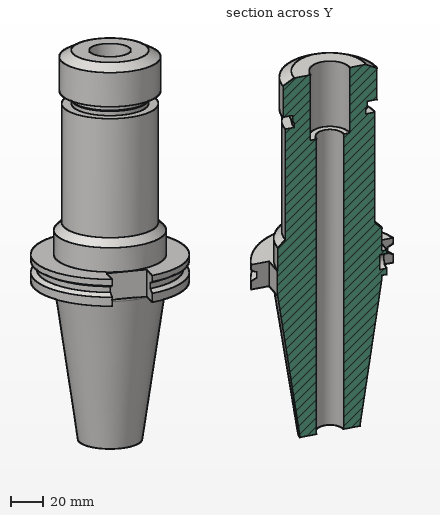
import cadquery as cq

SHANK_LENGTH = 101.6
GAUGE_DIAMETER = 69.85
TAPER_RATIO = 7 / 24
SMALL_END_DIAMETER = GAUGE_DIAMETER - SHANK_LENGTH * TAPER_RATIO

FLANGE_DIAMETER = 98.425
FLANGE_BOTTOM_Z = SHANK_LENGTH + 1.5
FLANGE_TOP_Z = SHANK_LENGTH + 19.05
GROOVE_FLOOR_DIAMETER = 91.0
GROOVE_CENTER_Z = FLANGE_TOP_Z - 7.9
GROOVE_FLOOR_WIDTH = 3.8
GROOVE_MOUTH_WIDTH = 7.6

SLOT_WIDTH = 25.91
LEFT_SLOT_FLOOR_X = -37.9
RIGHT_SLOT_FLOOR_X = 35.5
CHIP_HOLE_DIAMETER = 10.0
CHIP_HOLE_DEPTH = 4.6

TOTAL_HEIGHT = 254.0
BODY_DIAMETER = 60.0
SHOULDER_CONE_BOTTOM_Z = 136.5
SHOULDER_CONE_HEIGHT = (GAUGE_DIAMETER - BODY_DIAMETER) / 2
BODY_TOP_Z = 219.2

NECK_DIAMETER = 48.0
COLLAR_DIAMETER = 50.0
COLLAR_BOTTOM_Z = 223.0
COLLAR_CHAMFER = (COLLAR_DIAMETER - NECK_DIAMETER) / 2

NUT_DIAMETER = 63.0
NUT_HEIGHT = 26.5
NUT_BOTTOM_Z = TOTAL_HEIGHT - NUT_HEIGHT
NUT_FACE_DIAMETER = 48.0
NUT_CHAMFER_HEIGHT = 4.2

BORE_DIAMETER = 18.0
COLLET_BORE_DIAMETER = 26.0
COLLET_BORE_DEPTH = 46.0


def make_turned_body():
    """Revolve the outer outline, given as (diameter, height) steps, about Z."""
    steps = [
        (0, 0),
        (SMALL_END_DIAMETER, 0),
        (GAUGE_DIAMETER, SHANK_LENGTH),
        (GAUGE_DIAMETER, FLANGE_BOTTOM_Z),
        (FLANGE_DIAMETER, FLANGE_BOTTOM_Z),
        (FLANGE_DIAMETER, GROOVE_CENTER_Z - GROOVE_MOUTH_WIDTH / 2),
        (GROOVE_FLOOR_DIAMETER, GROOVE_CENTER_Z - GROOVE_FLOOR_WIDTH / 2),
        (GROOVE_FLOOR_DIAMETER, GROOVE_CENTER_Z + GROOVE_FLOOR_WIDTH / 2),
        (FLANGE_DIAMETER, GROOVE_CENTER_Z + GROOVE_MOUTH_WIDTH / 2),
        (FLANGE_DIAMETER, FLANGE_TOP_Z),
        (GAUGE_DIAMETER, FLANGE_TOP_Z),
        (GAUGE_DIAMETER, SHOULDER_CONE_BOTTOM_Z),
        (BODY_DIAMETER, SHOULDER_CONE_BOTTOM_Z + SHOULDER_CONE_HEIGHT),
        (BODY_DIAMETER, BODY_TOP_Z),
        (NECK_DIAMETER, BODY_TOP_Z),
        (NECK_DIAMETER, COLLAR_BOTTOM_Z - COLLAR_CHAMFER),
        (COLLAR_DIAMETER, COLLAR_BOTTOM_Z),
        (COLLAR_DIAMETER, NUT_BOTTOM_Z),
        (NUT_DIAMETER, NUT_BOTTOM_Z),
        (NUT_DIAMETER, TOTAL_HEIGHT - NUT_CHAMFER_HEIGHT),
        (NUT_FACE_DIAMETER, TOTAL_HEIGHT),
        (0, TOTAL_HEIGHT),
    ]
    outline = [(diameter / 2, height) for diameter, height in steps]
    return cq.Workplane("XZ").polyline(outline).close().revolve(360, (0, 0), (0, 1))


def make_bore():
    """Through bore, widened at the top to receive the collet."""
    through_bore = cq.Workplane("XY").circle(BORE_DIAMETER / 2).extrude(TOTAL_HEIGHT)
    collet_bore = (
        cq.Workplane("XY", origin=(0, 0, TOTAL_HEIGHT))
        .circle(COLLET_BORE_DIAMETER / 2)
        .extrude(-COLLET_BORE_DEPTH)
    )
    return through_bore.union(collet_bore)


def make_key_slot(floor_x):
    """Block that cuts the flange from a flat slot floor outward, on the floor's side of the axis."""
    outer_x = FLANGE_DIAMETER / 2 if floor_x > 0 else -FLANGE_DIAMETER / 2
    return (
        cq.Workplane("XY", origin=((floor_x + outer_x) / 2, 0, FLANGE_BOTTOM_Z))
        .rect(abs(outer_x - floor_x), SLOT_WIDTH)
        .extrude(FLANGE_TOP_Z - FLANGE_BOTTOM_Z)
    )


def make_chip_hole():
    """Blind round hole running inward (+X) from the floor of the -X slot."""
    return (
        cq.Workplane("YZ", origin=(LEFT_SLOT_FLOOR_X, 0, GROOVE_CENTER_Z))
        .circle(CHIP_HOLE_DIAMETER / 2)
        .extrude(CHIP_HOLE_DEPTH)
    )


result = make_turned_body().cut(make_bore())
for slot_floor_x in (LEFT_SLOT_FLOOR_X, RIGHT_SLOT_FLOOR_X):
    result = result.cut(make_key_slot(slot_floor_x))
result = result.cut(make_chip_hole())